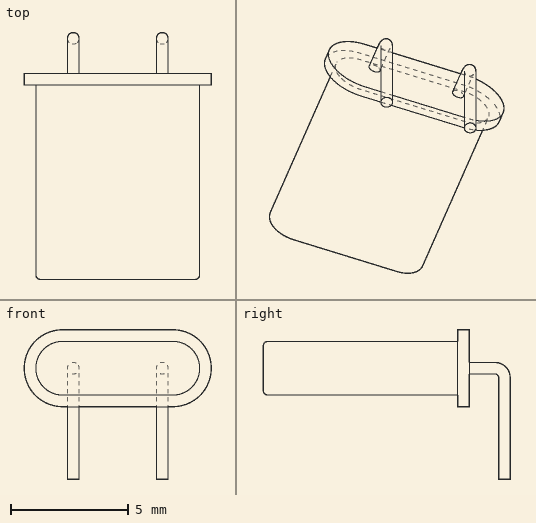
import cadquery as cq

end_center_spacing = 4.7
can_height = 2.3
can_length = 8.3
can_edge_fillet = 0.2
flange_height = 3.3
flange_thickness = 0.5

lead_diameter = 0.5
lead_spacing = 3.8
lead_bend_radius = 0.4
lead_reach = 1.75
lead_bottom_z = -4.75

flange_back_y = flange_thickness
lead_drop_y = flange_back_y + lead_reach - lead_diameter / 2


def stadium_prism(height, front_y, length):
    """Stadium section in XZ, extruded toward +Y from front_y."""
    return (
        cq.Workplane("XZ", origin=(0, front_y, 0))
        .slot2D(end_center_spacing + height, height)
        .extrude(-length)
    )


def make_can():
    can = stadium_prism(can_height, -can_length, can_length)
    return can.faces("<Y").edges().fillet(can_edge_fillet)


def make_flange():
    return stadium_prism(flange_height, 0, flange_thickness)


def make_lead(x):
    """Round wire: straight out of the flange, one 90 degree bend, straight down."""
    bend_start_y = lead_drop_y - lead_bend_radius
    path = (
        cq.Workplane("YZ", origin=(x, 0, 0))
        .moveTo(flange_back_y, 0)
        .lineTo(bend_start_y, 0)
        .tangentArcPoint((lead_drop_y, -lead_bend_radius), relative=False)
        .lineTo(lead_drop_y, lead_bottom_z)
    )
    return (
        cq.Workplane("XZ", origin=(x, flange_back_y, 0))
        .circle(lead_diameter / 2)
        .sweep(path)
    )


result = make_can().union(make_flange())
for side in (-1, 1):
    result = result.union(make_lead(side * lead_spacing / 2))